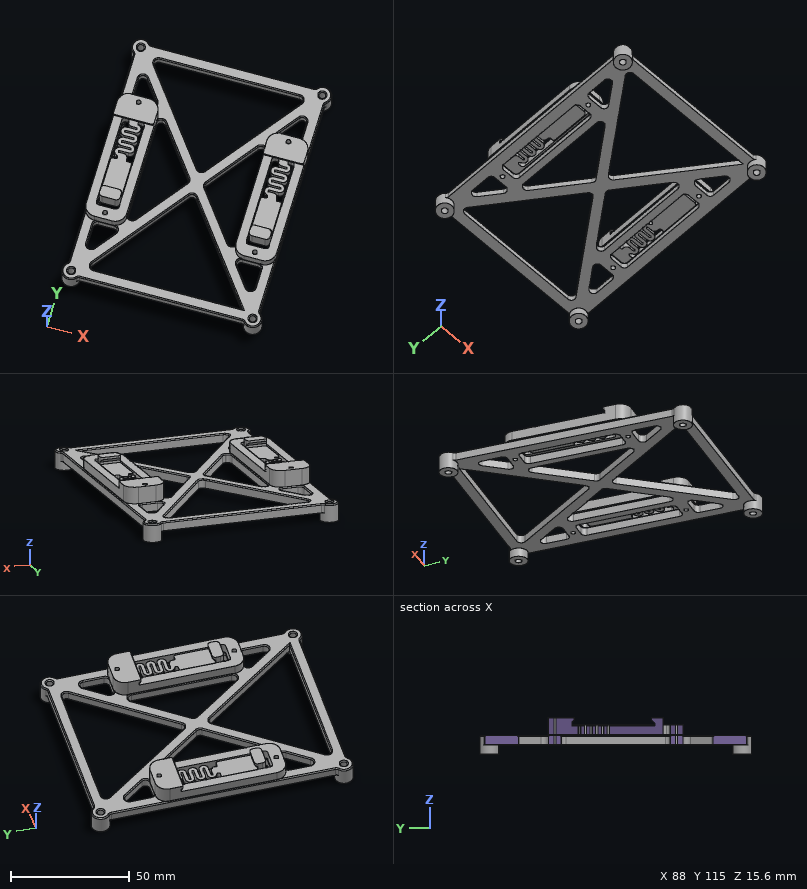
import cadquery as cq
import math

FRAME_LENGTH = 115.0
FRAME_WIDTH = 88.0
BOSS_DIAMETER = 8.0
BOSS_HOLE_DIAMETER = 2.9
BOSS_BLEND_RADIUS = 1.5
RAIL_INSET = 2.01
RAIL_WIDTH = 5.0
FRAME_TOP = 8.0
PLATE_THICKNESS = 4.0
OPENING_RADIUS = 2.0
TOP_CHAMFER = 0.5

BOSS_X = (FRAME_WIDTH - BOSS_DIAMETER) / 2
BOSS_Y = (FRAME_LENGTH - BOSS_DIAMETER) / 2
OUTER_X = FRAME_WIDTH / 2 - RAIL_INSET
OUTER_Y = FRAME_LENGTH / 2 - RAIL_INSET
INNER_X = OUTER_X - RAIL_WIDTH
INNER_Y = OUTER_Y - RAIL_WIDTH
PLATE_BOTTOM = FRAME_TOP - PLATE_THICKNESS
BOSS_CENTRES = [(x, y) for x in (-BOSS_X, BOSS_X) for y in (-BOSS_Y, BOSS_Y)]

DIAGONAL_SLOPE = BOSS_Y / BOSS_X
DIAGONAL_ANGLE = math.atan(DIAGONAL_SLOPE)
DIAGONAL_HALF_X = RAIL_WIDTH / 2 / math.sin(DIAGONAL_ANGLE)
DIAGONAL_HALF_Y = RAIL_WIDTH / 2 / math.cos(DIAGONAL_ANGLE)

CLIP_GAP = 0.2
CLIP_WIDTH = 17.9
CLIP_LENGTH = 57.3
CLIP_CORNER_RADIUS = 5.1
CLIP_BASE_HEIGHT = 4.6
CLIP_RAISED_HEIGHT = 3.0
CLIP_X = OUTER_X - CLIP_WIDTH / 2
CLIP_HOLE_DIAMETER = 2.0
CLIP_HOLE_Y = 25.8
CLIP_BOTTOM = FRAME_TOP + CLIP_GAP
CLIP_TOP = FRAME_TOP + CLIP_BASE_HEIGHT
RAISED_TOP = CLIP_TOP + CLIP_RAISED_HEIGHT

BLOCK_LIP_LENGTH = 1.0
BUTTON_LIP_LENGTH = 1.4
LIP_CORNER_FLAT = 0.06
LIP_THICKNESS = 1.0
BLOCK_FACE_Y = 18.5

SLOT_WIDTH = 9.9
SLOT_END_Y = -23.0
SLOT_RADIUS = 1.5

TONGUE_WIDTH = 9.2
TONGUE_TOP = CLIP_TOP - 0.5
TONGUE_BACK_Y = -0.3
TONGUE_FRONT_Y = -20.1
TONGUE_FRONT_RADIUS = 1.7
TONGUE_BACK_RADIUS = 0.8
BUTTON_FACE_Y = -16.5

SPRING_WIRE = 1.6
SPRING_PITCH = 2.4
SPRING_WIDTH = 8.0
SPRING_BARS = 7
SPRING_FIRST_Y = 16.5
BEND_OUTER = (SPRING_PITCH + SPRING_WIRE) / 2
BEND_INNER = (SPRING_PITCH - SPRING_WIRE) / 2
NECK_SHOULDER = 0.1

CROSSBAR_OUTER_Y = 28.5
CROSSBAR_INNER_Y = 23.9
CLIP_WINDOW_END_Y = 23.0
CLIP_WINDOW_INNER_X = 27.6
CLIP_BAR_X = OUTER_X - CLIP_WIDTH


def prism(points, bottom, top):
    return cq.Workplane("XY").workplane(offset=bottom).polyline(points).close().extrude(top - bottom)


def block(x0, x1, y0, y1, bottom, top):
    return cq.Workplane("XY").box(x1 - x0, y1 - y0, top - bottom, centered=False).translate((x0, y0, bottom))


def opening(points, sharp_corner=None):
    """Frame opening with rounded corners, except one that may stay sharp."""
    body = prism(points, PLATE_BOTTOM, FRAME_TOP)
    edges = body.edges("|Z")
    if sharp_corner is not None:
        tip = cq.Vector(sharp_corner[0], sharp_corner[1], (PLATE_BOTTOM + FRAME_TOP) / 2)
        edges = edges.filter(lambda edge: (edge.Center() - tip).Length > OPENING_RADIUS)
    return edges.fillet(OPENING_RADIUS)


def diagonal_side_x(y):
    """Distance from the Y axis to the outer side of a diagonal at height y."""
    return y / DIAGONAL_SLOPE + DIAGONAL_HALF_X


def end_opening(side):
    """Triangle between an end rail and both diagonals; its corner at -Y, +X is sharp."""
    half = (INNER_Y - DIAGONAL_HALF_Y) / DIAGONAL_SLOPE
    corner = (half, side * INNER_Y)
    points = [(-half, side * INNER_Y), corner, (0, side * DIAGONAL_HALF_Y)]
    return opening(points, corner if side < 0 else None)


def corner_opening(side_x, side_y):
    """Triangle between a side rail, a crossbar and a diagonal."""
    points = [
        (INNER_X, CROSSBAR_OUTER_Y),
        (diagonal_side_x(CROSSBAR_OUTER_Y), CROSSBAR_OUTER_Y),
        (INNER_X, (INNER_X - DIAGONAL_HALF_X) * DIAGONAL_SLOPE),
    ]
    return opening([(side_x * x, side_y * y) for x, y in points])


def middle_opening(side):
    """Opening beside a clip, pointing to the centre of the frame."""
    points = [
        (CLIP_BAR_X, CROSSBAR_INNER_Y),
        (diagonal_side_x(CROSSBAR_INNER_Y), CROSSBAR_INNER_Y),
        (DIAGONAL_HALF_X, 0),
        (diagonal_side_x(CROSSBAR_INNER_Y), -CROSSBAR_INNER_Y),
        (CLIP_BAR_X, -CROSSBAR_INNER_Y),
    ]
    return opening([(side * x, y) for x, y in points])


def clip_window(side):
    """Opening below the slot of a clip."""
    xs = (CLIP_WINDOW_INNER_X, INNER_X)
    ys = (-CLIP_WINDOW_END_Y, CLIP_WINDOW_END_Y)
    points = [(xs[0], ys[0]), (xs[1], ys[0]), (xs[1], ys[1]), (xs[0], ys[1])]
    return opening([(side * x, y) for x, y in points])


def make_frame():
    plate = block(-OUTER_X, OUTER_X, -OUTER_Y, OUTER_Y, PLATE_BOTTOM, FRAME_TOP)
    bosses = (
        cq.Workplane("XY").workplane(offset=PLATE_BOTTOM)
        .pushPoints(BOSS_CENTRES).circle(BOSS_DIAMETER / 2).extrude(PLATE_THICKNESS)
    )
    frame = plate.union(bosses).edges("|Z").fillet(BOSS_BLEND_RADIUS)
    for side in (-1, 1):
        frame = frame.cut(end_opening(side)).cut(middle_opening(side)).cut(clip_window(side))
        for side_y in (-1, 1):
            frame = frame.cut(corner_opening(side, side_y))
    holes = cq.Workplane("XY").pushPoints(BOSS_CENTRES).circle(BOSS_HOLE_DIAMETER / 2).extrude(FRAME_TOP)
    frame = frame.cut(holes).faces(">Z").edges().chamfer(TOP_CHAMFER)
    feet = cq.Workplane("XY").pushPoints(BOSS_CENTRES).circle(BOSS_DIAMETER / 2).extrude(PLATE_BOTTOM)
    frame = frame.union(feet.cut(holes))
    for side in (-1, 1):
        frame = frame.cut(clip_holes().translate((side * CLIP_X, 0, 0)))
    return frame


def clip_holes():
    return (
        cq.Workplane("XY").pushPoints([(0, -CLIP_HOLE_Y), (0, CLIP_HOLE_Y)])
        .circle(CLIP_HOLE_DIAMETER / 2).extrude(RAISED_TOP)
    )


def lip(width, face_y, length, direction):
    """Overhang with rounded corners and a 45 degree underside, pointing along +Y or -Y."""
    bottom = RAISED_TOP - LIP_THICKNESS - length
    root_y = face_y - direction * length
    tip_y = face_y + direction * length
    half = width / 2
    section = [
        (root_y, bottom),
        (face_y, bottom),
        (tip_y, RAISED_TOP - LIP_THICKNESS),
        (tip_y, RAISED_TOP),
        (root_y, RAISED_TOP),
    ]
    bar = cq.Workplane("YZ").polyline(section).close().extrude(half, both=True)
    low, high = sorted((root_y, tip_y))
    end = ">Y" if direction > 0 else "<Y"
    footprint = block(-half, half, low, high, bottom, RAISED_TOP)
    footprint = footprint.edges("|Z").edges(end).fillet(length - LIP_CORNER_FLAT)
    return bar.intersect(footprint)


def make_body():
    """Clip body: rounded base with a slot, and the raised end block."""
    outline = (
        cq.Workplane("XY").workplane(offset=CLIP_BOTTOM)
        .rect(CLIP_WIDTH, CLIP_LENGTH).extrude(RAISED_TOP - CLIP_BOTTOM)
        .edges("|Z").fillet(CLIP_CORNER_RADIUS)
    )
    half = CLIP_WIDTH / 2
    above_base = block(-half, half, -CLIP_LENGTH / 2, BLOCK_FACE_Y, CLIP_TOP, RAISED_TOP)
    slot = block(-SLOT_WIDTH / 2, SLOT_WIDTH / 2, SLOT_END_Y, BLOCK_FACE_Y, CLIP_BOTTOM, CLIP_TOP)
    body = outline.cut(above_base).cut(slot.edges("|Z").fillet(SLOT_RADIUS))
    return body.union(lip(CLIP_WIDTH, BLOCK_FACE_Y, BLOCK_LIP_LENGTH, -1))


def spring_block(x0, x1, y0, y1):
    return block(x0, x1, y0, y1, CLIP_BOTTOM, TONGUE_TOP)


def spring_discs(centres, radius):
    base = cq.Workplane("XY").workplane(offset=CLIP_BOTTOM)
    return base.pushPoints(centres).circle(radius).extrude(TONGUE_TOP - CLIP_BOTTOM)


def spring_neck(length):
    """Neck from the middle of a bar at Y = 0 down to Y = -length, with a round notch on each side."""
    notch_radius = (length - SPRING_WIRE / 2) / 2
    notch_x = BEND_OUTER + notch_radius
    notch_y = notch_radius - length
    neck = spring_block(-BEND_OUTER, BEND_OUTER, -length, SPRING_WIRE / 2)
    neck = neck.edges("|Z and >X and >Y").fillet(BEND_OUTER - NECK_SHOULDER)
    neck = neck.union(spring_block(-notch_x, -BEND_OUTER, -length, 0))
    neck = neck.union(spring_block(BEND_OUTER, notch_x, -length, notch_y))
    return neck.cut(spring_discs([(-notch_x, notch_y), (notch_x, notch_y)], notch_radius))


def make_spring():
    """Flat serpentine between the end block and the tongue, with a neck at each end."""
    ring = spring_discs([(0, 0)], BEND_OUTER).cut(spring_discs([(0, 0)], BEND_INNER))
    bend_x = SPRING_WIDTH / 2 - BEND_OUTER
    last = SPRING_BARS - 1
    bar_ys = [SPRING_FIRST_Y - index * SPRING_PITCH for index in range(SPRING_BARS)]

    spring = spring_neck(BLOCK_FACE_Y - bar_ys[0]).rotate((0, 0, 0), (0, 0, 1), 180)
    spring = spring.translate((0, bar_ys[0], 0))
    for index, y in enumerate(bar_ys):
        left = 0 if index == 0 else -bend_x
        right = 0 if index == last else bend_x
        spring = spring.union(spring_block(left, right, y - SPRING_WIRE / 2, y + SPRING_WIRE / 2))
        if index < last:
            side = -1 if index % 2 else 1
            low, high = sorted((0, side * BEND_OUTER))
            bend = ring.intersect(spring_block(low, high, -BEND_OUTER, BEND_OUTER))
            spring = spring.union(bend.translate((side * bend_x, y - SPRING_PITCH / 2, 0)))
    return spring.union(spring_neck(bar_ys[last] - TONGUE_BACK_Y).translate((0, bar_ys[last], 0)))


def make_tongue():
    half = TONGUE_WIDTH / 2
    tongue = block(-half, half, TONGUE_FRONT_Y, TONGUE_BACK_Y, CLIP_BOTTOM, TONGUE_TOP)
    tongue = tongue.edges("|Z and >Y").fillet(TONGUE_BACK_RADIUS)
    tongue = tongue.edges("|Z and <Y").fillet(TONGUE_FRONT_RADIUS)
    button = block(-half, half, TONGUE_FRONT_Y, BUTTON_FACE_Y, CLIP_BOTTOM, RAISED_TOP)
    button = button.edges("|Z and <Y").fillet(TONGUE_FRONT_RADIUS)
    return tongue.union(button).union(lip(TONGUE_WIDTH, BUTTON_FACE_Y, BUTTON_LIP_LENGTH, 1))


def make_clip(x):
    clip = make_body().union(make_tongue()).union(make_spring()).cut(clip_holes())
    return clip.translate((x, 0, 0))


frame = make_frame()
clips = [make_clip(x) for x in (-CLIP_X, CLIP_X)]

result = cq.Compound.makeCompound([frame.val(), *[clip.val() for clip in clips]])